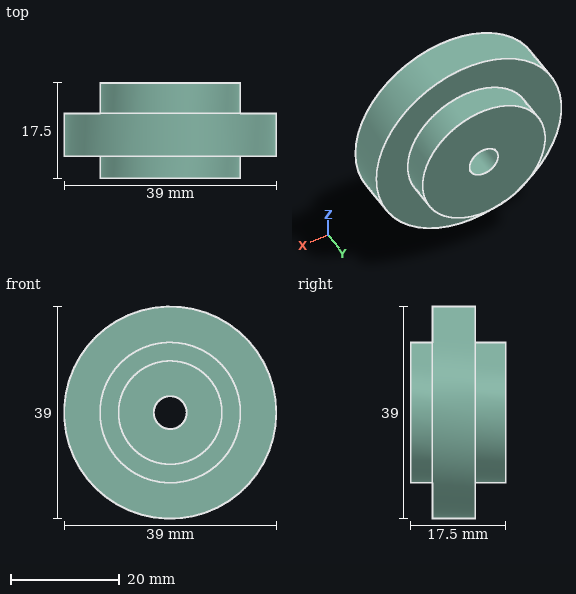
import cadquery as cq

flange_diameter = 39.0
flange_width = 7.9
hub_diameter = 25.8
front_hub_length = 4.0
back_hub_length = 5.6
recess_diameter = 19.0
recess_depth = 1.15
bore_diameter = 6.0

flange_front = front_hub_length
flange_back = flange_front + flange_width
hub_back = flange_back + back_hub_length


def cylinder(diameter, y_start, y_end):
    """Solid cylinder on the Y axis between two stations."""
    front_plane = cq.Workplane("XZ", origin=(0, y_start, 0))
    return front_plane.circle(diameter / 2).extrude(y_start - y_end)


hub = cylinder(hub_diameter, 0, hub_back)
flange = cylinder(flange_diameter, flange_front, flange_back)
recess = cylinder(recess_diameter, 0, recess_depth)
bore = cylinder(bore_diameter, 0, hub_back)

result = hub.union(flange).cut(recess).cut(bore)